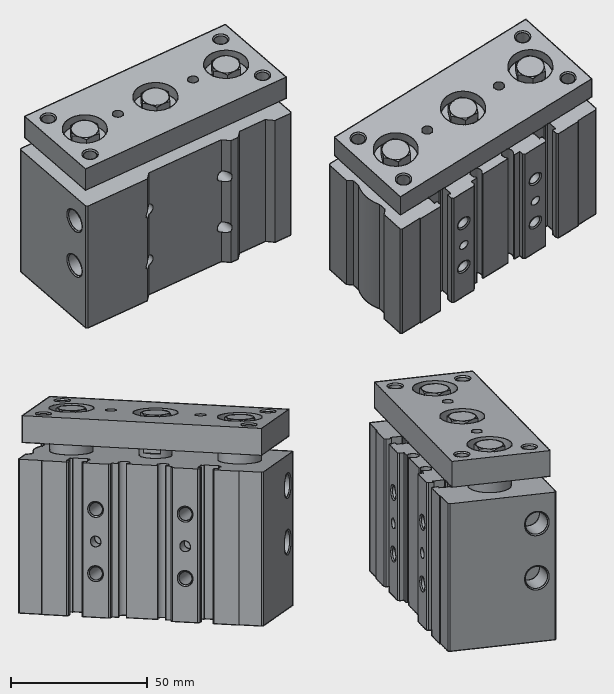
import cadquery as cq
import math

housing_width = 42.0
housing_length = 93.0
housing_height = 57.5
corner_chamfer = 0.6
end_step_depth = 0.4
end_step_inner_y = 37.5

t_slot_y = 24.9
t_slot_mouth = 5.0
t_slot_lip = 2.7
t_slot_inside_width = 7.6
t_slot_depth = 7.3
t_slot_groove_width = 5.6
t_slot_groove_depth = 0.7
rim_chamfer = 0.65

centre_recess_width = 23.0
centre_recess_depth = 2.3
sensor_groove_y = 7.4
sensor_groove_mouth = 3.0
sensor_groove_diameter = 4.4
sensor_groove_inset = 2.1

right_recess_depth = 2.5
right_recesses = [(22.1, 38.9), (-19.0, 18.9)]
back_recess_width = 21.8
back_recess_depth = 1.9
back_rib_radius = 14.0

mount_hole_y = 17.0
mount_hole_z = 28.4
mount_hole_pitch_z = 24.0
thread_diameter = 4.9
thread_mouth_diameter = 5.95
dowel_diameter = 4.0
dowel_depth = 6.0
port_x = 13.5
port_heights = [24.9, 46.0]
port_diameter = 8.6
port_mouth_diameter = 9.5
port_depth = 10.0

plate_width = 37.9
plate_length = 91.0
plate_thickness = 10.0
total_height = 73.5
plate_thread_x = 13.0
plate_thread_y = 39.1
rod_pitch = 32.0
guide_rod_diameter = 16.0
piston_rod_diameter = 12.0
piston_rod_flats = 10.0
piston_flat_height = 4.3
counterbore_diameter = 16.5
counterbore_depth = 4.65
bolt_sides = 6
bolt_flats = 10.0
bolt_chamfer_angle = 30.0

half_width = housing_width / 2
half_length = housing_length / 2
plate_bottom = total_height - plate_thickness


def prism(points):
    """Solid of an XY outline over the full housing height."""
    return cq.Workplane("XY").polyline(points).close().extrude(housing_height)


def block(x_min, x_max, y_min, y_max):
    """Rectangular prism over the full housing height."""
    return prism([(x_min, y_min), (x_max, y_min), (x_max, y_max), (x_min, y_max)])


def hole_cutter(plane, diameter, depth, mouth_diameter=None):
    """Hole along the plane normal, with a 45 degree countersink if a mouth diameter is given."""
    cutter = cq.Workplane(plane).circle(diameter / 2).extrude(depth)
    if mouth_diameter:
        sink = (mouth_diameter - diameter) / 2
        cone = cq.Solid.makeCone(
            mouth_diameter / 2, diameter / 2, sink, pnt=plane.origin, dir=plane.zDir
        )
        cutter = cutter.union(cq.Workplane(cone))
    return cutter


def t_slot_cutter(centre_y):
    """T-slot entering the -X face, with bevelled rims and a relieved floor."""
    lip_x = -half_width + t_slot_lip
    floor_x = -half_width + t_slot_depth
    mouth = t_slot_mouth / 2
    inside = t_slot_inside_width / 2
    groove = t_slot_groove_width / 2
    upper = [
        (-half_width, mouth + rim_chamfer),
        (-half_width + rim_chamfer, mouth),
        (lip_x, mouth),
        (lip_x, inside),
        (floor_x, inside),
        (floor_x, groove),
        (floor_x + t_slot_groove_depth, groove),
    ]
    lower = [(x, -y) for x, y in reversed(upper)]
    return prism([(x, centre_y + y) for x, y in upper + lower])


def centre_recess_cutter():
    """Wide shallow recess with bevelled rims in the middle of the -X face."""
    edge = centre_recess_width / 2
    upper = [
        (-half_width, edge + rim_chamfer),
        (-half_width + rim_chamfer, edge),
        (-half_width + centre_recess_depth, edge),
    ]
    lower = [(x, -y) for x, y in reversed(upper)]
    return prism(upper + lower)


def sensor_groove_cutter(centre_y):
    """Round groove that opens through a narrower mouth into the centre recess."""
    axis_x = -half_width + centre_recess_depth + sensor_groove_inset
    mouth = block(
        -half_width, axis_x, centre_y - sensor_groove_mouth / 2, centre_y + sensor_groove_mouth / 2
    )
    bore = (
        cq.Workplane("XY").center(axis_x, centre_y)
        .circle(sensor_groove_diameter / 2).extrude(housing_height)
    )
    return mouth.union(bore)


def right_recess_cutter(y_min, y_max):
    """Recess in the +X face whose sides slope in at 45 degrees."""
    floor_x = half_width - right_recess_depth
    return prism([
        (half_width, y_min),
        (floor_x, y_min + right_recess_depth),
        (floor_x, y_max - right_recess_depth),
        (half_width, y_max),
    ])


def back_recess_cutter():
    """Recess in the +Y face with 45 degree sides, around a round rib."""
    edge = back_recess_width / 2
    floor_y = half_length - back_recess_depth
    recess = prism([
        (-edge, half_length),
        (-edge + back_recess_depth, floor_y),
        (edge - back_recess_depth, floor_y),
        (edge, half_length),
    ])
    rib = cq.Workplane("XY").center(0, rod_pitch).circle(back_rib_radius).extrude(housing_height)
    return recess.cut(rib)


def cut_mounting_holes(body):
    """Threaded through holes and dowel holes entering the -X face."""
    for y in (-mount_hole_y, mount_hole_y):
        for side in (-1, 1):
            z = mount_hole_z + side * mount_hole_pitch_z / 2
            plane = cq.Plane((-half_width, y, z), xDir=(0, 1, 0), normal=(1, 0, 0))
            body = body.cut(
                hole_cutter(plane, thread_diameter, housing_width, thread_mouth_diameter)
            )
        plane = cq.Plane((-half_width, y, mount_hole_z), xDir=(0, 1, 0), normal=(1, 0, 0))
        body = body.cut(hole_cutter(plane, dowel_diameter, dowel_depth))
    return body


def cut_ports(body):
    """Blind ports entering the -Y face."""
    for z in port_heights:
        plane = cq.Plane((port_x, -half_length, z), xDir=(1, 0, 0), normal=(0, 1, 0))
        body = body.cut(hole_cutter(plane, port_diameter, port_depth, port_mouth_diameter))
    return body


def make_housing():
    """Extruded housing with its grooves, mounting holes and ports."""
    step_x = -half_width + end_step_depth
    body = block(-half_width, half_width, -half_length, half_length)
    body = body.cut(block(-half_width, step_x, end_step_inner_y, half_length))
    body = body.cut(block(-half_width, step_x, -half_length, -end_step_inner_y))
    body = body.edges("|Z and (<Y or >Y)").chamfer(corner_chamfer)
    for side in (-1, 1):
        body = body.cut(t_slot_cutter(side * t_slot_y))
    body = body.cut(centre_recess_cutter())
    for side in (-1, 1):
        body = body.cut(sensor_groove_cutter(side * sensor_groove_y))
    for y_min, y_max in right_recesses:
        body = body.cut(right_recess_cutter(y_min, y_max))
    body = body.cut(back_recess_cutter())
    body = cut_mounting_holes(body)
    return cut_ports(body)


def make_plate():
    """Plate with its threaded corner holes and dowel holes, all going through."""
    plate = (
        cq.Workplane("XY").workplane(offset=plate_bottom)
        .rect(plate_width, plate_length).extrude(plate_thickness)
    )
    for x in (-plate_thread_x, plate_thread_x):
        for y in (-plate_thread_y, plate_thread_y):
            plane = cq.Plane((x, y, total_height), xDir=(1, 0, 0), normal=(0, 0, -1))
            plate = plate.cut(
                hole_cutter(plane, thread_diameter, plate_thickness, thread_mouth_diameter)
            )
    for y in (-mount_hole_y, mount_hole_y):
        plane = cq.Plane((0, y, total_height), xDir=(1, 0, 0), normal=(0, 0, -1))
        plate = plate.cut(hole_cutter(plane, dowel_diameter, plate_thickness))
    return plate


def make_bolt_head(centre_y):
    """Hexagonal head, flush with the plate top, its corners trimmed by a cone."""
    corner_diameter = bolt_flats / math.cos(math.pi / bolt_sides)
    corner_drop = (corner_diameter - bolt_flats) / 2 * math.tan(math.radians(bolt_chamfer_angle))
    shoulder_height = counterbore_depth - corner_drop
    base_z = total_height - counterbore_depth
    head = (
        cq.Workplane("XY", origin=(0, centre_y, base_z))
        .transformed(rotate=(0, 0, 90))
        .polygon(bolt_sides, corner_diameter).extrude(counterbore_depth)
    )
    envelope = (
        cq.Workplane("XZ", origin=(0, centre_y, base_z))
        .polyline([
            (0, 0),
            (corner_diameter / 2, 0),
            (corner_diameter / 2, shoulder_height),
            (bolt_flats / 2, counterbore_depth),
            (0, counterbore_depth),
        ])
        .close().revolve(360, (0, 0), (0, 1))
    )
    return head.intersect(envelope)


def make_rod(centre_y, diameter):
    """Round rod standing between the housing top and the plate."""
    return (
        cq.Workplane("XY", origin=(0, centre_y, housing_height))
        .circle(diameter / 2).extrude(plate_bottom - housing_height)
    )


def make_piston_rod():
    """Centre rod with two wrench flats just below the plate."""
    rod = make_rod(0, piston_rod_diameter)
    flat_zone = cq.Workplane("XY").workplane(offset=plate_bottom - piston_flat_height)
    waste_size = 2 * piston_rod_diameter
    waste = (
        flat_zone.rect(waste_size, waste_size)
        .rect(piston_rod_flats, waste_size).extrude(piston_flat_height)
    )
    return rod.cut(waste)


def make_slide():
    """Plate, guide rods, piston rod and bolt heads moving together as one body."""
    slide = make_plate()
    for y in (-rod_pitch, 0, rod_pitch):
        recess = (
            cq.Workplane("XY", origin=(0, y, total_height))
            .circle(counterbore_diameter / 2).extrude(-counterbore_depth)
        )
        slide = slide.cut(recess).union(make_bolt_head(y))
    for y in (-rod_pitch, rod_pitch):
        slide = slide.union(make_rod(y, guide_rod_diameter))
    return slide.union(make_piston_rod())


housing = make_housing()
slide = make_slide()
result = cq.Compound.makeCompound([housing.val(), slide.val()])